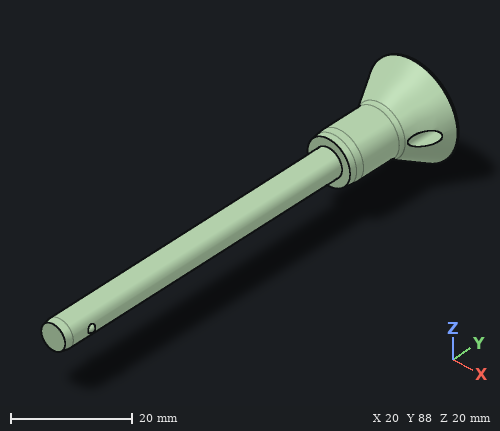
import cadquery as cq
import math


overall_length = 88.0
handle_length = 21.0
shank_length = overall_length - handle_length
tip_length = 1.6
collar_length = 1.3
shoulder_length = 1.5
rim_thickness = 0.55
rim_rounding = 0.3

head_radius = 10.0
grip_radius = 5.17
collar_radius = 5.0
collar_face_radius = 4.8
shank_radius = 3.0
tip_radius = 2.7

flare_half_angle = math.radians(30.0)
flare_blend_radius = 2.2

ball_radius = 0.9
ball_reach = 3.55
ball_from_tip = 6.1

lanyard_hole_diameter = 3.0
lanyard_hole_offset = 7.2


def turned_body():
    """Revolve the half outline (radius along X, axis along Y) and round the back rim."""
    tip_y = -shank_length
    rim_y = handle_length - rim_thickness
    shoulder_end_y = collar_length + shoulder_length

    half_turn = flare_half_angle / 2
    corner_y = rim_y - (head_radius - grip_radius) / math.tan(flare_half_angle)
    setback = flare_blend_radius * math.tan(half_turn)
    blend_start_y = corner_y - setback
    blend_end = (
        grip_radius + setback * math.sin(flare_half_angle),
        corner_y + setback * math.cos(flare_half_angle),
    )
    blend_middle = (
        grip_radius + flare_blend_radius * (1 - math.cos(half_turn)),
        blend_start_y + flare_blend_radius * math.sin(half_turn),
    )

    outline = (
        cq.Workplane("XY")
        .moveTo(0, tip_y)
        .lineTo(tip_radius, tip_y)
        .lineTo(shank_radius, tip_y + tip_length)
        .lineTo(shank_radius, 0)
        .lineTo(collar_face_radius, 0)
        .lineTo(collar_radius, collar_length)
        .lineTo(grip_radius, shoulder_end_y)
        .lineTo(grip_radius, blend_start_y)
        .threePointArc(blend_middle, blend_end)
        .lineTo(head_radius, rim_y)
        .lineTo(head_radius, handle_length)
        .lineTo(0, handle_length)
        .close()
    )
    body = outline.revolve(360, (0, 0, 0), (0, 1, 0))
    return body.faces(">Y").edges().fillet(rim_rounding)


def locking_ball(side):
    """Ball peeking out of the shank on the +X (side = 1) or -X (side = -1) flank."""
    ball_x = side * (ball_reach - ball_radius)
    ball_y = ball_from_tip - shank_length
    return cq.Workplane("XY").sphere(ball_radius).translate((ball_x, ball_y, 0))


def lanyard_hole():
    """Cutter parallel to the axis, passing through the whole flare."""
    return (
        cq.Workplane("XZ", origin=(lanyard_hole_offset, handle_length, 0))
        .circle(lanyard_hole_diameter / 2)
        .extrude(handle_length)
    )


result = turned_body()
for side in (-1, 1):
    result = result.union(locking_ball(side))
result = result.cut(lanyard_hole())